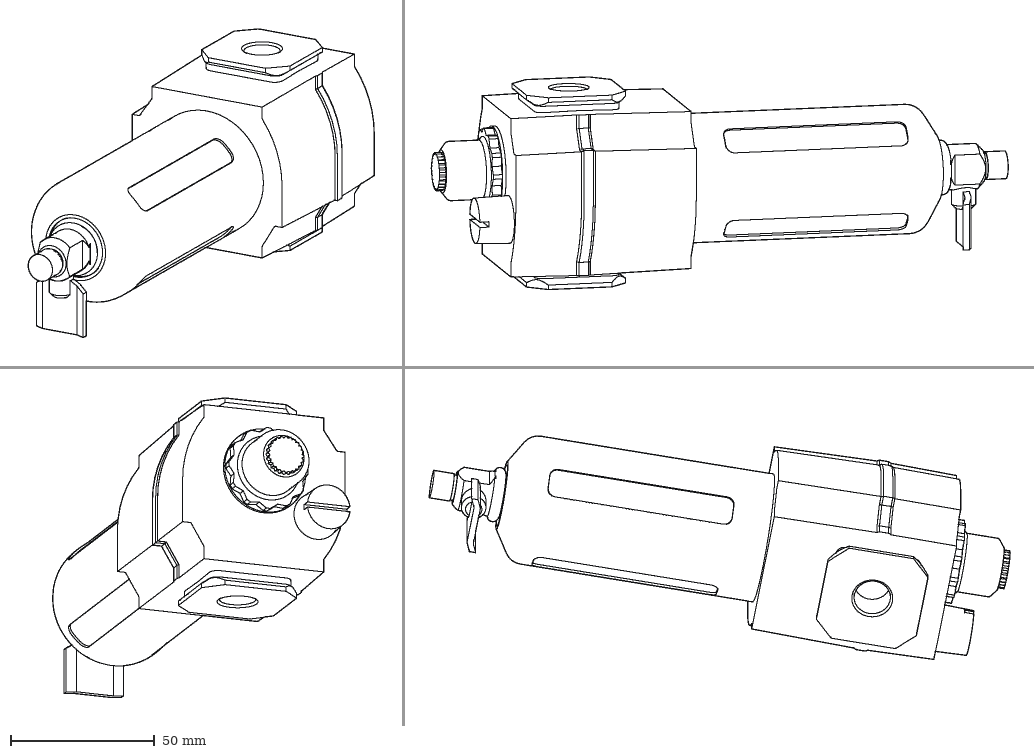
import cadquery as cq
import math


HOUSING_FRONT = 38.7
HOUSING_REAR = 25.8
HOUSING_DRAFT = 1.0
HOUSING_HALF_WIDTH = 30.7
HOUSING_HALF_HEIGHT = 28.5
END_HALF_WIDTH = 22.8
END_WALL_LOW = 23.6
LEDGE_X = 27.5
LEDGE_Z = 16.9
OPPOSITE_LEDGE_Z = -15.9
RIB_HEIGHT = 0.5
RIB_HALF_CREST = 1.6
RIB_HALF_BASE = 2.5

FLANGE_TOP = 34.0
FLANGE_HALF_SIZE = 17.7
FLANGE_CORNER_CUT = 6.3
FLANGE_RIM = 1.6
NECK_TOP = 30.5
NECK_HALF_SIZE = 15.0
NECK_CORNER_RADIUS = 3.0
NECK_ROOT = 26.5
PORT_RADIUS = 6.3
PORT_MOUTH_RADIUS = 7.1
PORT_DEPTH = 12.2

BOWL_RADIUS = 22.5
BOWL_SHOULDER_Y = -124.3
BOWL_SHOULDER_ROUND = 6.3
BOWL_END_Y = -131.0
BOWL_END_RADIUS = 12.0
BOWL_RECESS_RADIUS = 10.8
BOWL_RECESS_DEPTH = 1.0
WINDOW_LENGTH = 65.1
WINDOW_WIDTH = 10.2
WINDOW_CORNER_RADIUS = 2.8
WINDOW_FLOOR_RADIUS = 21.8
WINDOW_CENTRE_Y = -84.7
WINDOW_COUNT = 4

COLLAR_ROOT_RADIUS = 8.0
COLLAR_RADIUS = 9.5
COLLAR_END_Y = -135.0
COCK_RADIUS = 8.0
COCK_END_Y = -147.7
COCK_CHAMFER = 2.2
COCK_HALF_FLATS = 6.0
FLATS_START_Y = -136.5
SPOUT_NECK_RADIUS = 4.5
SPOUT_NECK_LENGTH = 1.0
SPOUT_RADIUS = 4.9
SPOUT_END_Y = -155.9
STEM_Y = -141.0
STEM_RADIUS = 4.3
STEM_BOTTOM = -14.7
STEM_CHAMFER = 1.5
WING_THICKNESS = 2.2
WING_HALF_WIDTH = 10.2
WING_BEND_X = 7.0
WING_BEND_OFFSET = 1.5
WING_TIP_TOP = -11.5
WING_ROOT_TOP = -8.1
WING_BOTTOM = -27.7

KNOB_Z = 6.1
KNOB_BASE_RADIUS = 15.0
KNOB_BASE_TOP = 27.0
KNOB_COLLAR_RADIUS = 14.7
KNOB_COLLAR_TOP = 30.3
KNOB_FOOT_RADIUS = 11.5
KNOB_FOOT_TOP = 31.7
KNOB_RADIUS = 10.4
KNOB_WALL_TOP = 43.1
KNOB_EDGE_ROUND = 1.2
KNOB_CROWN_RADIUS = 7.5
KNOB_CROWN_TOP = 45.4
TIP_RADIUS = 6.7
TIP_TOP = 47.6
KNOB_NOTCH_COUNT = 12
KNOB_NOTCH_DEPTH = 1.5
KNOB_NOTCH_SHARE = 0.8
TIP_NOTCH_COUNT = 24
TIP_NOTCH_DEPTH = 0.6
TIP_NOTCH_SHARE = 1.0

PLUG_X = -19.5
PLUG_Z = -8.1
PLUG_TOP = 38.0
PLUG_TOP_RADIUS = 8.0
PLUG_BASE_RADIUS = 8.3
PLUG_SLOT_WIDTH = 1.8
PLUG_SLOT_DEPTH = 3.3

EDGE_TOLERANCE = 0.2


def revolve_about_y(radius_y_points):
    """Solid of revolution about the Y axis from an outline of (radius, y) points."""
    return cq.Workplane("XY").polyline(radius_y_points).close().revolve(360, (0, 0, 0), (0, 1, 0))


def ring_edge_at(y, radius):
    """Selector for the round edge about the Y axis at one place along it."""
    reach = radius + EDGE_TOLERANCE
    return cq.selectors.BoxSelector(
        (-reach, y - EDGE_TOLERANCE, -reach), (reach, y + EDGE_TOLERANCE, reach), boundingbox=True
    )


def housing_outline():
    """Cross-section of the housing; the +X side is the -X side turned half a turn, with its own ledge."""
    bulge_depth = HOUSING_HALF_WIDTH - END_HALF_WIDTH
    bulge_radius = (bulge_depth**2 + END_WALL_LOW**2) / (2 * bulge_depth)
    half_angle = math.asin(END_WALL_LOW / bulge_radius) / 2
    bulge_mid_x = HOUSING_HALF_WIDTH - bulge_radius * (1 - math.cos(half_angle))
    bulge_mid_z = bulge_radius * math.sin(half_angle)

    outline = cq.Workplane("XZ").moveTo(END_HALF_WIDTH, HOUSING_HALF_HEIGHT)
    for turn, ledge_z in ((1, LEDGE_Z), (-1, OPPOSITE_LEDGE_Z)):
        outline = (
            outline.lineTo(-turn * END_HALF_WIDTH, turn * HOUSING_HALF_HEIGHT)
            .lineTo(-turn * END_HALF_WIDTH, turn * END_WALL_LOW)
            .lineTo(-turn * LEDGE_X, ledge_z)
            .lineTo(-turn * HOUSING_HALF_WIDTH, ledge_z)
            .lineTo(-turn * HOUSING_HALF_WIDTH, 0)
            .threePointArc(
                (-turn * bulge_mid_x, -turn * bulge_mid_z),
                (-turn * END_HALF_WIDTH, -turn * END_WALL_LOW),
            )
            .lineTo(-turn * END_HALF_WIDTH, -turn * HOUSING_HALF_HEIGHT)
        )
    return outline.close()


def housing_rib():
    """Raised band around both sides of the housing, with sloping flanks."""
    flank_run = RIB_HALF_BASE - RIB_HALF_CREST
    flank_angle = math.degrees(math.atan2(RIB_HEIGHT, flank_run))
    swollen = housing_outline().offset2D(RIB_HEIGHT, "intersection")
    crest = swollen.extrude(RIB_HALF_CREST)
    flank_outline = swollen.translate((0, -RIB_HALF_CREST, 0)).wires().toPending()
    half_rib = crest.union(flank_outline.extrude(flank_run, taper=flank_angle))
    half_rib = half_rib.intersect(
        cq.Workplane("XZ")
        .rect(4 * HOUSING_HALF_WIDTH, 2 * HOUSING_HALF_HEIGHT)
        .extrude(HOUSING_REAR, taper=HOUSING_DRAFT)
    )
    return half_rib.union(half_rib.mirror("XZ"))


def port_flange():
    """Eight-sided flange on a rounded square neck, on the +Z side."""
    flare = FLANGE_HALF_SIZE - NECK_HALF_SIZE
    flare_height = FLANGE_TOP - FLANGE_RIM - NECK_TOP
    flare_angle = math.degrees(math.atan2(flare, flare_height))

    def rounded_square(half_size, corner_radius, bottom):
        square = cq.Sketch().rect(2 * half_size, 2 * half_size).vertices().fillet(corner_radius)
        return cq.Workplane("XY").workplane(offset=bottom).placeSketch(square)

    neck = rounded_square(NECK_HALF_SIZE, NECK_CORNER_RADIUS, NECK_ROOT).extrude(NECK_TOP - NECK_ROOT)
    underside = rounded_square(NECK_HALF_SIZE, NECK_CORNER_RADIUS, NECK_TOP).extrude(
        flare_height, taper=-flare_angle
    )
    rim = rounded_square(FLANGE_HALF_SIZE, NECK_CORNER_RADIUS + flare, NECK_TOP + flare_height).extrude(
        FLANGE_RIM
    )
    eight_sided = (
        cq.Workplane("XY")
        .rect(2 * FLANGE_HALF_SIZE, 2 * FLANGE_HALF_SIZE)
        .extrude(FLANGE_TOP)
        .edges("|Z")
        .chamfer(FLANGE_CORNER_CUT)
    )
    return neck.union(underside).union(rim).intersect(eight_sided)


def port_bore():
    """Blind port with a countersunk mouth, cut from the +Z flange face."""
    mouth = PORT_MOUTH_RADIUS - PORT_RADIUS
    return (
        cq.Workplane("XZ")
        .moveTo(0, FLANGE_TOP)
        .lineTo(PORT_MOUTH_RADIUS, FLANGE_TOP)
        .lineTo(PORT_RADIUS, FLANGE_TOP - mouth)
        .lineTo(PORT_RADIUS, FLANGE_TOP - PORT_DEPTH)
        .lineTo(0, FLANGE_TOP - PORT_DEPTH)
        .close()
        .revolve(360, (0, 0, 0), (0, 1, 0))
    )


def make_housing():
    front = housing_outline().extrude(HOUSING_FRONT, taper=HOUSING_DRAFT)
    rear = housing_outline().extrude(HOUSING_REAR, taper=HOUSING_DRAFT).mirror("XZ")
    body = front.union(rear).union(housing_rib())
    flange = port_flange()
    bore = port_bore()
    body = body.union(flange).union(flange.mirror("XY"))
    return body.cut(bore).cut(bore.mirror("XY"))


def bowl_window():
    """Shallow rounded-end pocket facing +Z that follows the bowl's curve."""
    pad = (
        cq.Workplane("XY")
        .center(0, WINDOW_CENTRE_Y)
        .rect(WINDOW_WIDTH, WINDOW_LENGTH)
        .extrude(2 * BOWL_RADIUS)
        .edges("|Z")
        .fillet(WINDOW_CORNER_RADIUS)
    )
    floor = revolve_about_y([
        (0, BOWL_END_Y),
        (WINDOW_FLOOR_RADIUS, BOWL_END_Y),
        (WINDOW_FLOOR_RADIUS, -HOUSING_FRONT),
        (0, -HOUSING_FRONT),
    ])
    return pad.cut(floor)


def make_bowl():
    recess_floor = BOWL_END_Y + BOWL_RECESS_DEPTH
    bowl = revolve_about_y([
        (0, -HOUSING_FRONT),
        (BOWL_RADIUS, -HOUSING_FRONT),
        (BOWL_RADIUS, BOWL_SHOULDER_Y),
        (BOWL_END_RADIUS, BOWL_END_Y),
        (BOWL_RECESS_RADIUS, BOWL_END_Y),
        (BOWL_RECESS_RADIUS, recess_floor),
        (0, recess_floor),
    ])
    bowl = bowl.edges(ring_edge_at(BOWL_SHOULDER_Y, BOWL_RADIUS)).fillet(BOWL_SHOULDER_ROUND)
    window = bowl_window()
    pitch = 360 / WINDOW_COUNT
    for index in range(WINDOW_COUNT):
        bowl = bowl.cut(window.rotate((0, 0, 0), (0, 1, 0), (index + 0.5) * pitch))
    return bowl


def drain_body():
    """Collar, flatted cock and spout along the bowl axis."""
    seat = BOWL_END_Y + BOWL_RECESS_DEPTH
    neck_end = COCK_END_Y - SPOUT_NECK_LENGTH
    turned = (
        cq.Workplane("XY")
        .moveTo(0, seat)
        .lineTo(COLLAR_ROOT_RADIUS, seat)
        .lineTo(COLLAR_ROOT_RADIUS, BOWL_END_Y)
        .threePointArc(
            (COLLAR_RADIUS, (BOWL_END_Y + COLLAR_END_Y) / 2), (COLLAR_ROOT_RADIUS, COLLAR_END_Y)
        )
        .lineTo(COCK_RADIUS, COCK_END_Y + COCK_CHAMFER)
        .lineTo(COCK_RADIUS - COCK_CHAMFER, COCK_END_Y)
        .lineTo(SPOUT_NECK_RADIUS, COCK_END_Y)
        .lineTo(SPOUT_NECK_RADIUS, neck_end)
        .lineTo(SPOUT_RADIUS, neck_end)
        .lineTo(SPOUT_RADIUS, SPOUT_END_Y)
        .lineTo(0, SPOUT_END_Y)
        .close()
        .revolve(360, (0, 0, 0), (0, 1, 0))
    )
    run_out = COCK_RADIUS - COCK_HALF_FLATS
    flat_cutter = (
        cq.Workplane("XY")
        .workplane(offset=-COCK_RADIUS)
        .polyline([
            (COCK_HALF_FLATS, COCK_END_Y),
            (COCK_HALF_FLATS, FLATS_START_Y),
            (COCK_RADIUS, FLATS_START_Y + run_out),
            (COCK_RADIUS, COCK_END_Y),
        ])
        .close()
        .extrude(2 * COCK_RADIUS)
    )
    return turned.cut(flat_cutter).cut(flat_cutter.mirror("YZ"))


def drain_wing():
    """Thumb wing: a plate with its two sides bent opposite ways and its top corners cut off."""
    half = WING_THICKNESS / 2
    section = (
        cq.Workplane("XY")
        .workplane(offset=WING_BOTTOM)
        .center(0, STEM_Y)
        .polyline([
            (-WING_HALF_WIDTH, WING_BEND_OFFSET + half),
            (-WING_BEND_X, half),
            (WING_BEND_X, half),
            (WING_HALF_WIDTH, half - WING_BEND_OFFSET),
            (WING_HALF_WIDTH, -half - WING_BEND_OFFSET),
            (WING_BEND_X, -half),
            (-WING_BEND_X, -half),
            (-WING_HALF_WIDTH, WING_BEND_OFFSET - half),
        ])
        .close()
        .extrude(-WING_BOTTOM)
    )
    face = (
        cq.Workplane("XZ")
        .polyline([
            (-WING_HALF_WIDTH, WING_BOTTOM),
            (WING_HALF_WIDTH, WING_BOTTOM),
            (WING_HALF_WIDTH, WING_TIP_TOP),
            (STEM_RADIUS, WING_ROOT_TOP),
            (-STEM_RADIUS, WING_ROOT_TOP),
            (-WING_HALF_WIDTH, WING_TIP_TOP),
        ])
        .close()
        .extrude(-SPOUT_END_Y)
    )
    return section.intersect(face)


def make_drain():
    stem = (
        cq.Workplane("XY")
        .workplane(offset=STEM_BOTTOM)
        .center(0, STEM_Y)
        .circle(STEM_RADIUS)
        .extrude(-STEM_BOTTOM)
        .faces("<Z")
        .chamfer(STEM_CHAMFER)
    )
    return drain_body().union(stem).union(drain_wing())


def notch_ring(count, radius, depth, share, bottom, top):
    """Ring of V-notches about the Y axis, with a land at +Z."""
    half_angle = share * math.pi / count
    mouth_radius = radius + depth
    notch = (
        cq.Workplane("XZ")
        .polyline([
            (0, radius - depth),
            (radius * math.sin(half_angle), radius * math.cos(half_angle)),
            (0, mouth_radius),
            (-radius * math.sin(half_angle), radius * math.cos(half_angle)),
        ])
        .close()
        .extrude(bottom - top)
        .translate((0, bottom, 0))
    )
    pitch = 360 / count
    notches = [notch.rotate((0, 0, 0), (0, 1, 0), (index + 0.5) * pitch).val() for index in range(count)]
    return cq.Workplane(cq.Compound.makeCompound(notches))


def make_knob():
    knob = revolve_about_y([
        (0, HOUSING_REAR),
        (KNOB_BASE_RADIUS, HOUSING_REAR),
        (KNOB_BASE_RADIUS, KNOB_BASE_TOP),
        (KNOB_COLLAR_RADIUS, KNOB_BASE_TOP),
        (KNOB_COLLAR_RADIUS, KNOB_COLLAR_TOP),
        (KNOB_FOOT_RADIUS, KNOB_COLLAR_TOP),
        (KNOB_RADIUS, KNOB_FOOT_TOP),
        (KNOB_RADIUS, KNOB_WALL_TOP),
        (KNOB_CROWN_RADIUS, KNOB_CROWN_TOP),
        (TIP_RADIUS, KNOB_CROWN_TOP),
        (TIP_RADIUS, TIP_TOP),
        (0, TIP_TOP),
    ])
    knob = knob.edges(ring_edge_at(KNOB_WALL_TOP, KNOB_RADIUS)).fillet(KNOB_EDGE_ROUND)
    knob = knob.cut(notch_ring(
        KNOB_NOTCH_COUNT, KNOB_COLLAR_RADIUS, KNOB_NOTCH_DEPTH, KNOB_NOTCH_SHARE,
        KNOB_BASE_TOP, KNOB_COLLAR_TOP,
    ))
    knob = knob.cut(notch_ring(
        TIP_NOTCH_COUNT, TIP_RADIUS, TIP_NOTCH_DEPTH, TIP_NOTCH_SHARE, KNOB_CROWN_TOP, TIP_TOP,
    ))
    return knob.translate((0, 0, KNOB_Z))


def make_plug():
    """Slightly tapered filler plug with a screwdriver slot across its end."""
    plug = revolve_about_y([
        (0, HOUSING_REAR),
        (PLUG_BASE_RADIUS, HOUSING_REAR),
        (PLUG_TOP_RADIUS, PLUG_TOP),
        (0, PLUG_TOP),
    ])
    slot = cq.Workplane("XY").box(3 * PLUG_BASE_RADIUS, 2 * PLUG_SLOT_DEPTH, PLUG_SLOT_WIDTH)
    return plug.cut(slot.translate((0, PLUG_TOP, 0))).translate((PLUG_X, 0, PLUG_Z))


housing = make_housing()
bowl = make_bowl()
drain = make_drain()
knob = make_knob()
plug = make_plug()

result = cq.Compound.makeCompound([housing.val(), bowl.val(), drain.val(), knob.val(), plug.val()])